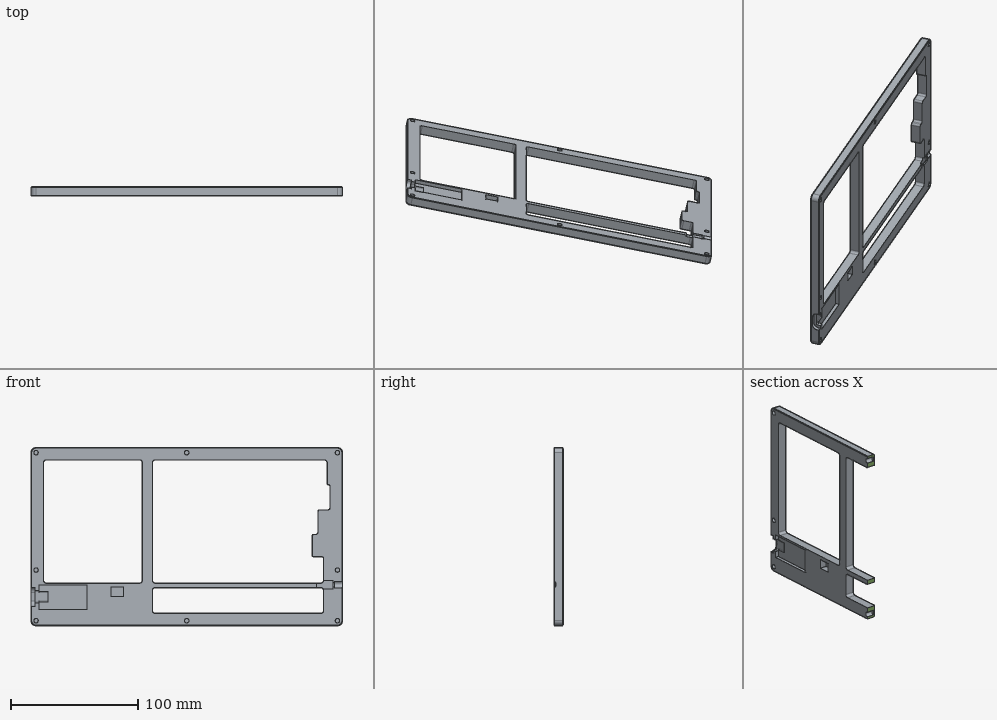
import cadquery as cq
plate_width = 244.79
plate_height = 140.01
plate_corner_radius = 4.0
thickness = 7.5
front_chamfer = 0.5
back_chamfer = 1.0

half_width = plate_width / 2
half_height = plate_height / 2

screw_diameter = 3.5
screw_edge_offset = 4.0
screw_depth = 6.0
screw_x = half_width - screw_edge_offset
screw_z = half_height - screw_edge_offset
side_screw_z = -26.2

window_top = 60.2
window_bottom = -36.4
window_radius = 2.0
bay_radius = 1.05
ledge_radius = 1.5
selection_margin = 0.5
left_window_left = -112.4
left_window_right = -35.0
right_window_left = -26.9
right_window_top_edge = 110.2
right_window_bay_edge = 112.4
right_window_bay_top = 40.7
upper_step_x = 103.0
upper_step_z = 21.1
lower_step_x = 98.4
lower_step_z = 1.9
lower_step_bottom = -15.8
slot_right = 107.4
slot_top = -40.2
slot_bottom = -60.1

board_left = -116.1
board_right = -78.5
board_top = -37.9
board_bottom = -57.2
board_depth = 2.9
square_left = -59.4
square_right = -49.8
square_top = -39.4
square_bottom = -46.8
square_depth = 5.75

port_z = -47.25
port_recess_height = 14.8
port_recess_depth = 5.6
port_recess_length = 3.25
port_recess_radius = 4.1
opening_height = 9.9
opening_radius = 0.75
plug_height = 8.4
plug_depth = 3.4
plug_radius = 0.75
plug_end = -108.8

cable_z = -37.6
cable_axis_offset = 1.0
entry_diameter = 5.5
entry_left = 116.1
cable_diameter = 4.0
cable_pocket_left = 102.1
cable_pocket_right = 114.7
cable_pocket_top = -34.3
cable_pocket_bottom = -40.9
cable_pocket_depth = 1.25


def box(left, right, bottom, top, depth):
    """Axis-aligned block between the given X and Z limits, running from the front face to depth."""
    block = cq.Workplane("XY").box(right - left, depth, top - bottom, centered=False)
    return block.translate((left, 0, bottom))


def rounded_box(left, right, bottom, top, depth, radius):
    """Block whose four edges along Y are rounded."""
    return box(left, right, bottom, top, depth).edges("|Y").fillet(radius)


def make_plate():
    """Rounded plate with a small front chamfer and a larger back chamfer around its outline."""
    plate = rounded_box(
        -half_width, half_width, -half_height, half_height, thickness, plate_corner_radius
    )
    return plate.faces("<Y").chamfer(front_chamfer).faces(">Y").chamfer(back_chamfer)


def corners_between(left, right, bottom, top):
    """Selector for the through edges whose X and Z lie within the given limits."""
    return cq.selectors.BoxSelector(
        (left - selection_margin, 0, bottom - selection_margin),
        (right + selection_margin, thickness, top + selection_margin),
    )


def make_right_window():
    """Large window whose right side steps around the bay and the two ledges."""
    corners = [
        (right_window_left, window_top),
        (right_window_top_edge, window_top),
        (right_window_top_edge, right_window_bay_top),
        (right_window_bay_edge, right_window_bay_top),
        (right_window_bay_edge, upper_step_z),
        (upper_step_x, upper_step_z),
        (upper_step_x, lower_step_z),
        (lower_step_x, lower_step_z),
        (lower_step_x, lower_step_bottom),
        (slot_right, lower_step_bottom),
        (slot_right, window_bottom),
        (right_window_left, window_bottom),
    ]
    window = cq.Workplane("XZ").polyline(corners).close().extrude(-thickness)
    window = window.edges("|Y").edges("<X or >Z or <Z").fillet(window_radius)
    bay_corners = corners_between(
        right_window_top_edge, right_window_bay_edge, right_window_bay_top, right_window_bay_top
    )
    window = window.edges("|Y").edges(bay_corners).fillet(bay_radius)
    ledge_corners = corners_between(
        lower_step_x, right_window_bay_edge, lower_step_bottom, upper_step_z
    )
    return window.edges("|Y").edges(ledge_corners).fillet(ledge_radius)


def make_screw_holes():
    """Blind holes at the corners, at mid-length and part-way up both side rails."""
    centers = [(x, z) for x in (-screw_x, 0, screw_x) for z in (-screw_z, screw_z)]
    centers += [(-screw_x, side_screw_z), (screw_x, side_screw_z)]
    return cq.Workplane("XZ").pushPoints(centers).circle(screw_diameter / 2).extrude(-screw_depth)


def edge_channel(start_x, length, height, depth, radius):
    """Channel along X, open at the front face, with its two floor edges rounded."""
    channel = box(start_x, start_x + length, port_z - height / 2, port_z + height / 2, depth)
    return channel.edges("|X and >Y").fillet(radius)


def make_port():
    """Outer recess, opening through the edge wall and the plug channel in the board pocket floor."""
    recess = edge_channel(
        -half_width, port_recess_length, port_recess_height, port_recess_depth, port_recess_radius
    )
    plug = edge_channel(-half_width, plug_end + half_width, plug_height, plug_depth, plug_radius)
    opening = edge_channel(
        -half_width, board_left + half_width, opening_height, plug_depth, opening_radius
    )
    return recess.union(opening).union(plug)


def groove(left, right, diameter):
    """Round-bottomed groove along X whose axis lies just in front of the plate."""
    profile = cq.Workplane("YZ", origin=(left, -cable_axis_offset, cable_z)).circle(diameter / 2)
    return profile.extrude(right - left)


def make_cable_entry():
    """Shallow pocket at the end of the cross bar, joined to the right edge by two grooves."""
    pocket = box(
        cable_pocket_left, cable_pocket_right, cable_pocket_bottom, cable_pocket_top, cable_pocket_depth
    )
    neck = groove(cable_pocket_right, entry_left, cable_diameter)
    return pocket.union(neck).union(groove(entry_left, half_width, entry_diameter))


left_window = rounded_box(
    left_window_left, left_window_right, window_bottom, window_top, thickness, window_radius
)
lower_slot = rounded_box(right_window_left, slot_right, slot_bottom, slot_top, thickness, window_radius)
board_pocket = box(board_left, board_right, board_bottom, board_top, board_depth)
square_pocket = box(square_left, square_right, square_bottom, square_top, square_depth)

result = make_plate()
for cut in (
    left_window,
    make_right_window(),
    lower_slot,
    make_screw_holes(),
    board_pocket,
    square_pocket,
    make_port(),
    make_cable_entry(),
):
    result = result.cut(cut)